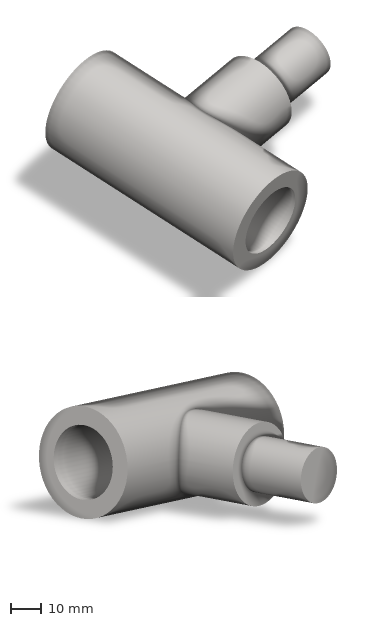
import cadquery as cq
import math

tube_length = 82.6
tube_diameter = 38.1
bore_diameter = 25.4

branch_droop = 2.0
collar_diameter = 28.5
spigot_diameter = 19.05
spigot_length = 25.4
collar_reach = 42.3

droop = math.radians(branch_droop)
branch_plane = cq.Plane(
    origin=(0, 0, 0),
    xDir=(1, 0, 0),
    normal=(0, math.cos(droop), -math.sin(droop)),
)


def tube_cylinder(diameter):
    """Solid cylinder along X, as long as the tube."""
    return cq.Workplane("YZ").circle(diameter / 2).extrude(tube_length / 2, both=True)


def branch_cylinder(diameter, reach):
    """Solid cylinder from the tube axis outwards along the branch axis."""
    return cq.Workplane(branch_plane).circle(diameter / 2).extrude(reach)


collar = branch_cylinder(collar_diameter, collar_reach)
spigot = branch_cylinder(spigot_diameter, collar_reach + spigot_length)

body = tube_cylinder(tube_diameter).union(collar).union(spigot)
result = body.cut(tube_cylinder(bore_diameter))